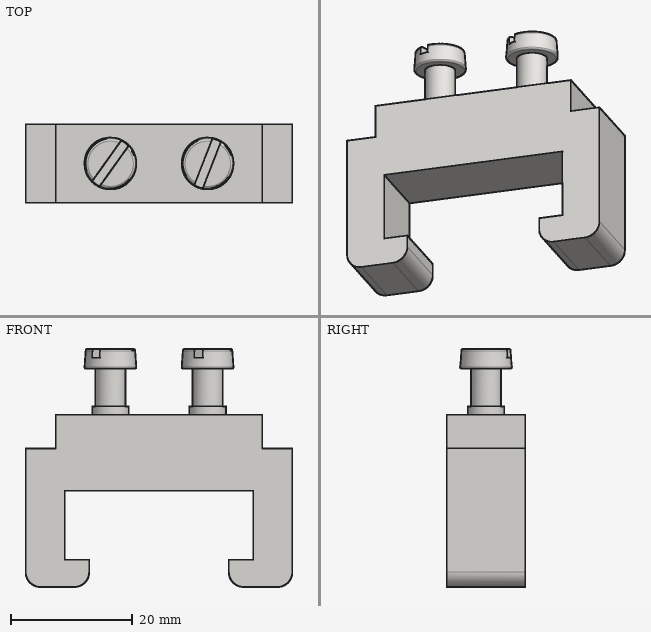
import cadquery as cq

length = 44.0
depth = 13.0
body_height = 28.42
shoulder_height = 22.9
shoulder_width = 4.95
leg_width = 6.45
opening_top = 15.9
lip_top = 4.55
foot_width = 10.5
foot_radius = 2.5

screw_spacing = 16.0
slot_angles = (54.5, 68.7)
collar_diameter = 6.05
collar_height = 1.35
shank_diameter = 5.0
head_bottom = 36.0
head_top = 39.3
head_base_diameter = 8.62
head_top_diameter = 8.15
head_top_fillet = 0.35
head_base_fillet = 0.3
slot_width = 1.5
slot_depth = 1.45


def make_body():
    """C-shaped clamp with stepped shoulders and two inward hooked feet."""
    half = length / 2
    right_side = [
        (half, 0),
        (half, shoulder_height),
        (half - shoulder_width, shoulder_height),
        (half - shoulder_width, body_height),
    ]
    right_opening = [
        (half - leg_width, opening_top),
        (half - leg_width, lip_top),
        (half - foot_width, lip_top),
        (half - foot_width, 0),
    ]
    left_side = [(-x, z) for x, z in reversed(right_side)]
    left_opening = [(-x, z) for x, z in reversed(right_opening)]
    outline = right_side + left_side + left_opening + right_opening
    body = cq.Workplane("XZ").polyline(outline).close().extrude(depth / 2, both=True)
    return body.faces("<Z").edges("|Y").fillet(foot_radius)


def make_screw(slot_angle):
    """Collar, shank and tapered slotted head, standing on the body top at X = 0."""
    collar = (
        cq.Workplane("XY", origin=(0, 0, body_height))
        .circle(collar_diameter / 2)
        .extrude(collar_height)
    )
    shank = (
        cq.Workplane("XY", origin=(0, 0, body_height))
        .circle(shank_diameter / 2)
        .extrude(head_bottom - body_height)
    )
    head = (
        cq.Workplane("XY", origin=(0, 0, head_bottom))
        .circle(head_base_diameter / 2)
        .workplane(offset=head_top - head_bottom)
        .circle(head_top_diameter / 2)
        .loft()
    )
    head = head.faces(">Z").edges().fillet(head_top_fillet)
    head = head.faces("<Z").edges().fillet(head_base_fillet)
    slot = (
        cq.Workplane("XY", origin=(0, 0, head_top - slot_depth))
        .rect(head_base_diameter, slot_width)
        .extrude(slot_depth)
        .rotate((0, 0, 0), (0, 0, 1), slot_angle)
    )
    return collar.union(shank).union(head.cut(slot))


result = make_body()
for side, slot_angle in zip((-1, 1), slot_angles):
    screw = make_screw(slot_angle).translate((side * screw_spacing / 2, 0, 0))
    result = result.union(screw)